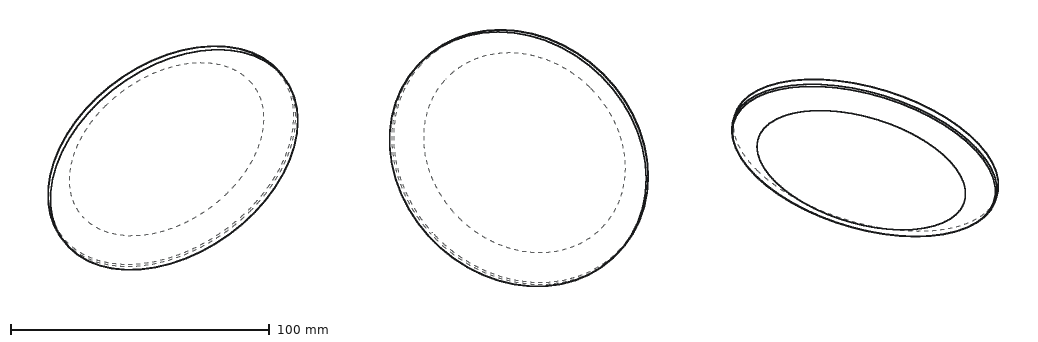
import cadquery as cq

outer_diameter = 106.0
thickness = 7.0
face_diameter = 83.3
rim_width = 2.3
bevel_width = 0.6
bevel_depth = 0.5

outer_radius = outer_diameter / 2
face_radius = face_diameter / 2
back_x = thickness / 2
front_x = -back_x
rim_start_x = back_x - rim_width
cone_end_x = rim_start_x - bevel_width

half_section = (
    cq.Workplane("XY")
    .moveTo(front_x, 0)
    .lineTo(front_x, face_radius)
    .lineTo(cone_end_x, outer_radius - bevel_depth)
    .lineTo(rim_start_x, outer_radius)
    .lineTo(back_x, outer_radius)
    .lineTo(back_x, 0)
    .close()
)

result = half_section.revolve(360, (0, 0, 0), (1, 0, 0))